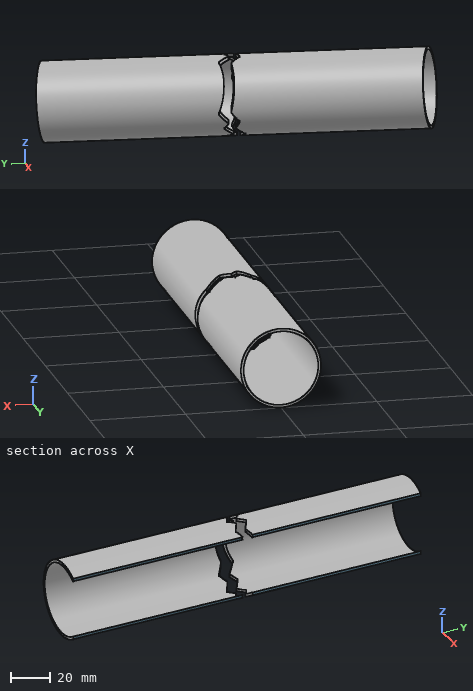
import cadquery as cq

LENGTH = 200.0
OUTER_DIAMETER = 42.0
BORE_DIAMETER = 39.0
CUT_HEIGHT = 2 * OUTER_DIAMETER
END_Y = LENGTH / 2

REAR_BREAK = [
    (-22.0, 2.0),
    (-16.0, 6.5),
    (-11.5, 2.0),
    (-8.0, 4.8),
    (-2.0, 1.0),
    (1.8, 4.8),
    (7.5, 1.0),
    (15.2, 5.2),
    (22.0, 2.2),
]
FRONT_BREAK = [
    (-22.0, -3.2),
    (-16.5, -0.2),
    (-12.2, -3.8),
    (-8.0, -1.0),
    (-1.5, -5.0),
    (2.5, -1.5),
    (7.8, -4.5),
    (15.5, -0.2),
    (22.0, -3.0),
]


def full_tube():
    """The unbroken tube, centred on the origin."""
    return (
        cq.Workplane("XZ")
        .circle(OUTER_DIAMETER / 2)
        .circle(BORE_DIAMETER / 2)
        .extrude(END_Y, both=True)
    )


def tube_half(break_edge, end_y):
    """The part of the tube between a break edge and the square end at end_y."""
    left_x = break_edge[0][0]
    right_x = break_edge[-1][0]
    kept_region = (
        cq.Workplane("XY")
        .polyline(break_edge + [(right_x, end_y), (left_x, end_y)])
        .close()
        .extrude(CUT_HEIGHT / 2, both=True)
    )
    return full_tube().intersect(kept_region).solids()


rear_tube = tube_half(REAR_BREAK, END_Y)
front_tube = tube_half(FRONT_BREAK, -END_Y)

result = cq.Compound.makeCompound([rear_tube.val(), front_tube.val()])